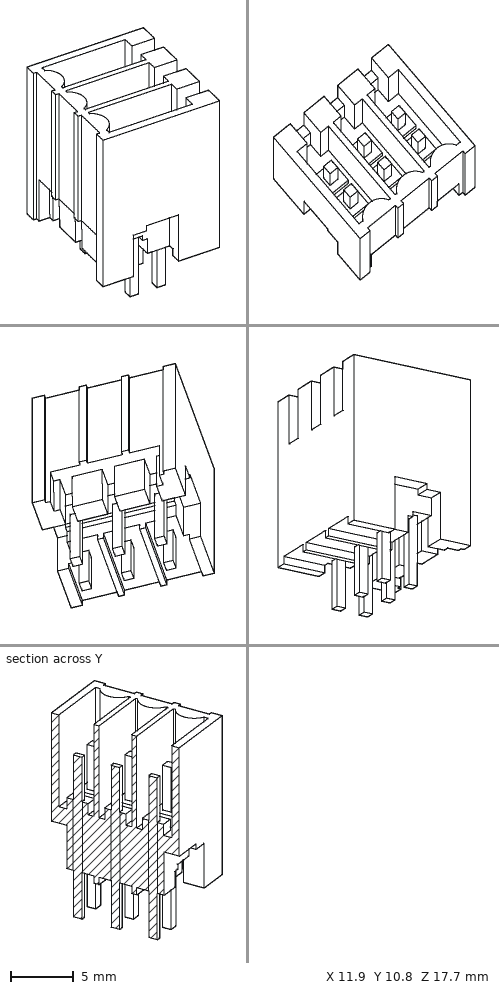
import cadquery as cq


POLES = 3
PITCH = 3.5
WIDTH = 11.9
DEPTH = 10.8
HEIGHT = 14.2

PIN_SIZE = 0.8
PIN_DROP = 3.5
FRONT_ROW_Y = 4.1
REAR_ROW_Y = 6.6
PIN_TOP = 10.97

FLOOR_Z = 6.0
PARTITION = 0.5
OUTER_WALL = 0.7
FRONT_WALL = 1.0
REAR_WALL = 2.1
KEY_HALF_CHORD = 1.33
KEY_HEIGHT = 0.8

LATCH_WIDTH = 1.4
LATCH_BAR = 0.83
LATCH_BAR_TOP = 10.0

PAD_SIZE = 2.0
PAD_HEIGHT = 1.0

RECESS_DEPTH = 0.3
CORNER_RIDGE = 1.03
RIDGE_WIDTH = 0.6

WINDOW_WIDTH = 9.06
WINDOW_DEPTH = 1.3
WINDOW_DRAFT = 0.07
WINDOW_HEIGHT = 4.0
LEG_REAR_Y = 2.8
BLOCK_FRONT_Y = 4.94
SIDE_REAR_Y = REAR_ROW_Y + PIN_SIZE / 2
SIDE_STEP_Y = 4.04
SIDE_HEIGHT = 4.5
TUNNEL_STEP_Y = FRONT_ROW_Y + PIN_SIZE / 2
FRONT_CEILING = 2.5
MIDDLE_CEILING = 2.05
REAR_CEILING = 0.64
FRONT_SLOT = 1.01
REAR_SLOT = PITCH - PARTITION

pole_centres = [(i - (POLES - 1) / 2) * PITCH for i in range(POLES)]
pin_points = [(x, y) for x in pole_centres for y in (FRONT_ROW_Y, REAR_ROW_Y)]


def block(x0, x1, y0, y1, z0, z1):
    """Box between two opposite corners."""
    return cq.Workplane("XY").box(x1 - x0, y1 - y0, z1 - z0, centered=False).translate((x0, y0, z0))


def centred_block(x, width, y0, y1, z0, z1):
    """Box that is centred on x."""
    return block(x - width / 2, x + width / 2, y0, y1, z0, z1)


def cut_front_recesses(body):
    """Shallow full-height panels between the ridges of the front face."""
    edge = WIDTH / 2 - CORNER_RIDGE
    for x in pole_centres:
        left = max(x - (PITCH - RIDGE_WIDTH) / 2, -edge)
        right = min(x + (PITCH - RIDGE_WIDTH) / 2, edge)
        body = body.cut(block(left, right, 0, RECESS_DEPTH, 0, HEIGHT))
    return body


def front_key(x):
    """Rounded key along the front wall of one cavity."""
    return (
        cq.Workplane("XY", origin=(x, FRONT_WALL, FLOOR_Z))
        .moveTo(-KEY_HALF_CHORD, 0)
        .threePointArc((0, KEY_HEIGHT), (KEY_HALF_CHORD, 0))
        .close()
        .extrude(HEIGHT - FLOOR_Z)
    )


def cut_cavities(body):
    """Plug cavities with their front keys and rear latch slots."""
    side = WIDTH / 2 - OUTER_WALL
    half_width = (PITCH - PARTITION) / 2
    for x in pole_centres:
        left = -side if x == pole_centres[0] else x - half_width
        right = side if x == pole_centres[-1] else x + half_width
        cavity = block(left, right, FRONT_WALL, DEPTH - REAR_WALL, FLOOR_Z, HEIGHT)
        body = body.cut(cavity.cut(front_key(x)))
        body = body.cut(centred_block(x, LATCH_WIDTH, DEPTH - REAR_WALL, DEPTH - LATCH_BAR, FLOOR_Z, HEIGHT))
        body = body.cut(centred_block(x, LATCH_WIDTH, DEPTH - LATCH_BAR, DEPTH, LATCH_BAR_TOP, HEIGHT))
    return body


def add_pin_pads(body):
    """Square pads that surround the pins on the cavity floor."""
    pads = cq.Workplane("XY", origin=(0, 0, FLOOR_Z)).pushPoints(pin_points)
    return body.union(pads.rect(PAD_SIZE, PAD_SIZE).extrude(PAD_HEIGHT))


def cut_side_openings(body):
    """Stepped openings in the two side walls, as deep as the corner legs are wide."""
    profile = [
        (LEG_REAR_Y, 0),
        (LEG_REAR_Y, WINDOW_HEIGHT),
        (SIDE_STEP_Y, WINDOW_HEIGHT),
        (SIDE_STEP_Y, SIDE_HEIGHT),
        (SIDE_REAR_Y, SIDE_HEIGHT),
        (SIDE_REAR_Y, 0),
    ]
    wall = (WIDTH - WINDOW_WIDTH) / 2
    for left in (-WIDTH / 2, WIDTH / 2 - wall):
        body = body.cut(cq.Workplane("YZ", origin=(left, 0, 0)).polyline(profile).close().extrude(wall))
    return body


def front_window():
    """Opening at the foot of the front face, with a slightly drafted back."""
    profile = [
        (0, 0),
        (WINDOW_DEPTH, 0),
        (WINDOW_DEPTH - WINDOW_DRAFT, WINDOW_HEIGHT),
        (0, WINDOW_HEIGHT),
    ]
    start = cq.Workplane("YZ", origin=(-WINDOW_WIDTH / 2, 0, 0))
    return start.polyline(profile).close().extrude(WINDOW_WIDTH)


def cut_underside(body):
    """Front window, cross tunnel, front pin slots and rear pin slots."""
    body = body.cut(front_window())
    body = body.cut(centred_block(0, WIDTH, LEG_REAR_Y, TUNNEL_STEP_Y, 0, FRONT_CEILING))
    body = body.cut(centred_block(0, WIDTH, TUNNEL_STEP_Y, BLOCK_FRONT_Y, 0, MIDDLE_CEILING))
    for x in pole_centres:
        body = body.cut(centred_block(x, FRONT_SLOT, 0, LEG_REAR_Y, 0, WINDOW_HEIGHT))
        body = body.cut(centred_block(x, REAR_SLOT, BLOCK_FRONT_Y, DEPTH, 0, REAR_CEILING))
    return body


def make_pin(x, y):
    """Straight square pin from below the housing up into a cavity."""
    return centred_block(x, PIN_SIZE, y - PIN_SIZE / 2, y + PIN_SIZE / 2, -PIN_DROP, PIN_TOP)


def make_housing():
    """Housing with a matching square hole for every pin."""
    body = centred_block(0, WIDTH, 0, DEPTH, 0, HEIGHT)
    body = cut_front_recesses(body)
    body = cut_cavities(body)
    body = add_pin_pads(body)
    body = cut_side_openings(body)
    body = cut_underside(body)
    for x, y in pin_points:
        body = body.cut(make_pin(x, y))
    return body


housing = make_housing()
pins = [make_pin(x, y).val() for x, y in pin_points]

result = cq.Compound.makeCompound([housing.val(), *pins])